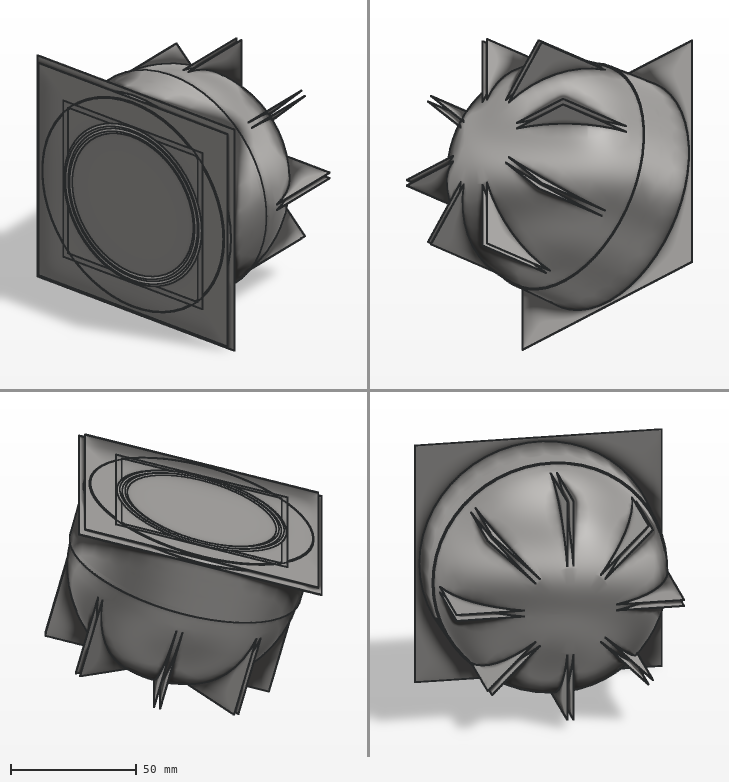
import cadquery as cq
import math


total_depth = 72.5
dome_radius = 47.2
dome_base_y = total_depth - dome_radius
drum_back_radius = 47.8
drum_front_radius = 48.4
band_rise = 0.7
drum_back_y = dome_base_y + band_rise
band_length = 2.1

plate_width = 100.4
plate_height = 100.3
plate_thickness = 0.3
plate_back_y = 2.6
plate_front_y = plate_back_y - plate_thickness
panel_side = 96.4
panel_thickness = 0.3
panel_front_y = 0.4
panel_back_y = panel_front_y + panel_thickness

bezel_radius = 46.1
groove_width = 0.2
recess_depth = 0.1
frame_outer_side = 70.9
frame_inner_side = 66.1

window_radius = 30.8
bead_width = 2.1
bead_count = 2

fin_count = 8
fin_reach = 46.3
fin_back_y = 68.6
fin_root_rise = 2.0
fin_front_y = dome_base_y + fin_root_rise
fin_root_radius = 10.0
fin_sheet_thickness = 0.2
fin_pair_width = 2.7


def square_slab(width, height, front_y, thickness):
    """Slab centred on the Y axis, running from front_y toward +Y."""
    return cq.Workplane("XY").box(width, thickness, height).translate((0, front_y + thickness / 2, 0))


def make_body():
    """Dome, straight band, slightly flared drum and bevelled front rim in one turn."""
    dome_middle = dome_radius * math.sqrt(0.5)
    profile = (
        cq.Workplane("XY")
        .moveTo(0, panel_front_y)
        .lineTo(bezel_radius, panel_front_y)
        .lineTo(drum_front_radius, plate_front_y)
        .lineTo(drum_back_radius, drum_back_y - band_length)
        .lineTo(drum_back_radius, drum_back_y)
        .lineTo(math.sqrt(dome_radius**2 - (drum_back_y - dome_base_y) ** 2), drum_back_y)
        .threePointArc((dome_middle, dome_base_y + dome_middle), (0, total_depth))
        .close()
    )
    return profile.revolve(360, (0, 0, 0), (0, 1, 0))


def make_bead(inner_radius, outer_radius):
    """Ring with a low triangular section, sunk slightly into the panel."""
    crest_radius = (inner_radius + outer_radius) / 2
    section = (
        cq.Workplane("XY")
        .moveTo(inner_radius, panel_back_y)
        .lineTo(inner_radius, panel_front_y)
        .lineTo(crest_radius, 0)
        .lineTo(outer_radius, panel_front_y)
        .lineTo(outer_radius, panel_back_y)
        .close()
    )
    return section.revolve(360, (0, 0, 0), (0, 1, 0))


def make_frame_recess():
    """Square band cutter for the panel face."""
    outer = square_slab(frame_outer_side, frame_outer_side, panel_front_y, recess_depth)
    return outer.cut(square_slab(frame_inner_side, frame_inner_side, panel_front_y, recess_depth))


def make_ring_groove():
    """Fine ring cutter where the drum meets the panel face."""
    outer_radius = bezel_radius + groove_width / 2
    ring = cq.Workplane("XZ").circle(outer_radius).circle(outer_radius - groove_width)
    return ring.extrude(-recess_depth).translate((0, panel_front_y, 0))


def make_fin_pair():
    """Two parallel thin sheets reaching out along +X, parted by an air gap."""
    length = fin_reach - fin_root_radius
    depth = fin_back_y - fin_front_y
    gap = fin_pair_width - 2 * fin_sheet_thickness
    sheets = cq.Workplane("XY").box(length, depth, fin_pair_width)
    sheets = sheets.cut(cq.Workplane("XY").box(length, depth, gap))
    return sheets.translate(((fin_reach + fin_root_radius) / 2, (fin_back_y + fin_front_y) / 2, 0))


result = make_body()
result = result.union(square_slab(plate_width, plate_height, plate_front_y, plate_thickness))
result = result.union(square_slab(panel_side, panel_side, panel_front_y, panel_thickness))
result = result.cut(make_frame_recess())
result = result.cut(make_ring_groove())

for index in range(bead_count):
    bead_inner_radius = window_radius + index * bead_width
    result = result.union(make_bead(bead_inner_radius, bead_inner_radius + bead_width))

fin_pair = make_fin_pair()
for index in range(fin_count):
    angle = index * 360 / fin_count
    result = result.union(fin_pair.rotate((0, 0, 0), (0, 1, 0), angle))